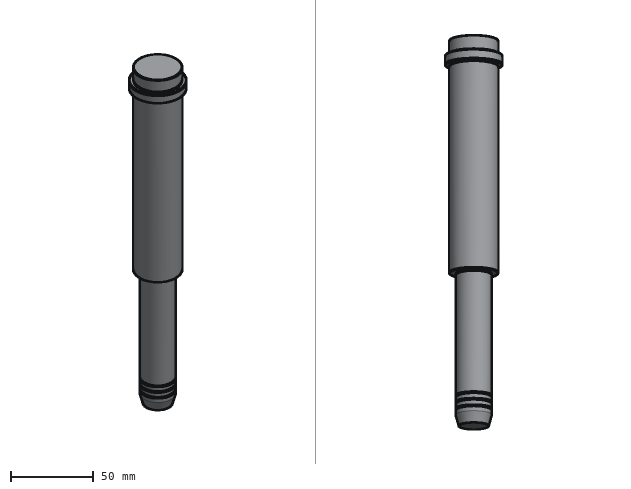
import cadquery as cq

total_length = 240.0
edge_chamfer = 0.5

body_radius = 15.0
body_bottom = 95.0

flange_radius = 17.5
flange_bottom = 224.6
flange_top = 230.6

relief_width = 1.0
relief_depth = 0.2

shank_radius = 11.0
taper_length = 7.0
tip_radius = 9.0
tip_chamfer = 0.2

groove_count = 3
groove_pitch = 4.0
first_groove_height = 10.3
groove_half_width = 0.6
groove_depth = 0.2


def cylinder(radius, bottom, top):
    return cq.Workplane("XY").workplane(offset=bottom).circle(radius).extrude(top - bottom)


def make_tip():
    cone = cq.Workplane("XY").circle(tip_radius).workplane(offset=taper_length).circle(shank_radius).loft()
    return cone.faces("<Z").chamfer(tip_chamfer)


def make_shank():
    return cylinder(shank_radius, taper_length, body_bottom)


def make_body():
    return cylinder(body_radius, body_bottom, total_length).edges().chamfer(edge_chamfer)


def make_flange():
    return cylinder(flange_radius, flange_bottom, flange_top).edges().chamfer(edge_chamfer)


def relief(radius, bottom):
    top = bottom + relief_width
    return cylinder(radius, bottom, top).cut(cylinder(radius - relief_depth, bottom, top))


def shank_groove(height):
    profile = [
        (shank_radius - groove_depth, height),
        (shank_radius, height - groove_half_width),
        (shank_radius, height + groove_half_width),
    ]
    return cq.Workplane("XZ").polyline(profile).close().revolve(360, (0, 0, 0), (0, 1, 0))


result = make_tip().union(make_shank()).union(make_body()).union(make_flange())
result = result.cut(relief(body_radius, flange_top))
result = result.cut(relief(body_radius, flange_bottom - relief_width))
result = result.cut(relief(shank_radius, body_bottom - relief_width))
for index in range(groove_count):
    result = result.cut(shank_groove(first_groove_height + index * groove_pitch))